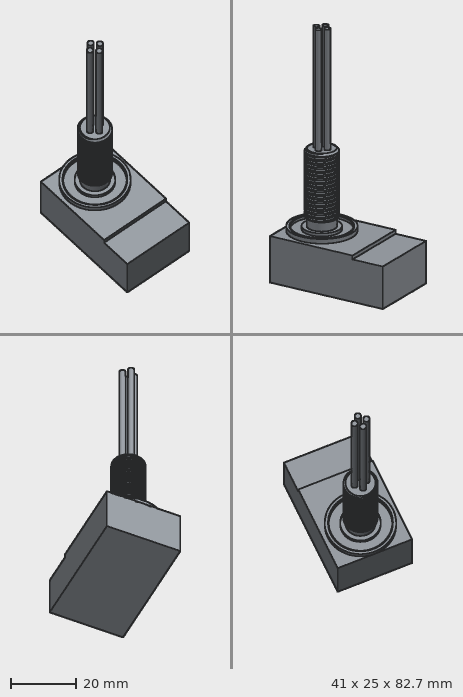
import math

import cadquery as cq

BODY_LENGTH = 41.0
BODY_WIDTH = 25.0
BODY_HEIGHT = 15.4
LEDGE_LENGTH = 11.0
LEDGE_DROP = 1.3

FLANGE_DIAMETER = 22.0
FLANGE_HEIGHT = 1.5
RECESS_OUTER_DIAMETER = 20.0
RECESS_FLOOR_DIAMETER = 19.5
RECESS_INNER_DIAMETER = 12.5
RECESS_DEPTH = 1.0
RECESS_STEP_DEPTH = 0.1

OVERALL_HEIGHT = 82.7
WIRE_DIAMETER = 2.0
WIRE_COUNT = 4
WIRE_CIRCLE_RADIUS = 2.0
WIRE_LENGTH = 40.0

NECK_DIAMETER = 9.4
NECK_HEIGHT = 3.0
THREAD_DIAMETER = 10.7
THREAD_PITCH = 1.27
THREAD_DEPTH = 0.62
GROOVE_ANGLE = 60.0
GROOVE_SECTION_HEIGHT = 2 * THREAD_PITCH
GROOVE_OVERCUT = 0.1
TOP_CHAMFER = 0.75
BOTTOM_CHAMFER = 0.5

FLANGE_TOP = BODY_HEIGHT + FLANGE_HEIGHT
THREAD_BOTTOM = FLANGE_TOP + NECK_HEIGHT
STEM_TOP = OVERALL_HEIGHT - WIRE_LENGTH


def cylinder(diameter, bottom, top):
    """Cylinder on the fitting axis between two heights."""
    return cq.Workplane("XY").workplane(offset=bottom).circle(diameter / 2).extrude(top - bottom)


def make_body():
    """Block with a shallow ledge across its +X end."""
    left = -FLANGE_DIAMETER / 2
    right = left + BODY_LENGTH
    return (
        cq.Workplane("XZ", origin=(0, BODY_WIDTH / 2, 0))
        .moveTo(left, 0)
        .lineTo(right, 0)
        .lineTo(right, BODY_HEIGHT - LEDGE_DROP)
        .lineTo(right - LEDGE_LENGTH, BODY_HEIGHT - LEDGE_DROP)
        .lineTo(right - LEDGE_LENGTH, BODY_HEIGHT)
        .lineTo(left, BODY_HEIGHT)
        .close()
        .extrude(BODY_WIDTH)
    )


def make_flange():
    """Disc with a stepped ring recess around its centre."""
    floor = FLANGE_TOP - RECESS_DEPTH
    step = FLANGE_TOP - RECESS_STEP_DEPTH
    recess = cylinder(RECESS_FLOOR_DIAMETER, floor, FLANGE_TOP)
    recess = recess.union(cylinder(RECESS_OUTER_DIAMETER, step, FLANGE_TOP))
    recess = recess.cut(cylinder(RECESS_INNER_DIAMETER, floor, FLANGE_TOP))
    return cylinder(FLANGE_DIAMETER, BODY_HEIGHT, FLANGE_TOP).cut(recess)


def make_helix(radius, bottom):
    """Helical edge over the height of one groove section."""
    start = cq.Vector(0, 0, bottom)
    return cq.Wire.makeHelix(THREAD_PITCH, GROOVE_SECTION_HEIGHT, radius, start).Edges()[0]


def make_groove_section(bottom):
    """Right-handed section of the V groove, starting at height bottom on the +X side."""
    root_radius = THREAD_DIAMETER / 2 - THREAD_DEPTH
    outer_radius = THREAD_DIAMETER / 2 + GROOVE_OVERCUT
    flank_rise = (outer_radius - root_radius) * math.tan(math.radians(GROOVE_ANGLE / 2))
    corners = [(root_radius, 0), (outer_radius, -flank_rise), (outer_radius, flank_rise)]
    helices = [make_helix(radius, bottom + rise) for radius, rise in corners]
    faces = [cq.Face.makeRuledSurface(helices[i - 1], helices[i]) for i in range(len(helices))]
    for end in (0, 1):
        outline = cq.Wire.makePolygon([helix.positionAt(end) for helix in helices], close=True)
        faces.append(cq.Face.makeFromWires(outline))
    return cq.Workplane(cq.Solid.makeSolid(cq.Shell.makeShell(faces)))


def make_stem():
    """Plain neck below a threaded cylinder chamfered at both ends."""
    threaded = cylinder(THREAD_DIAMETER, THREAD_BOTTOM, STEM_TOP)
    threaded = threaded.faces(">Z").chamfer(TOP_CHAMFER)
    threaded = threaded.faces("<Z").chamfer(BOTTOM_CHAMFER)
    groove_bottom = THREAD_BOTTOM - THREAD_PITCH
    section_count = math.ceil((STEM_TOP + THREAD_PITCH - groove_bottom) / GROOVE_SECTION_HEIGHT)
    for section in range(section_count):
        groove = make_groove_section(groove_bottom + section * GROOVE_SECTION_HEIGHT)
        threaded = threaded.cut(groove)
    return cylinder(NECK_DIAMETER, FLANGE_TOP, THREAD_BOTTOM).union(threaded)


def make_wires():
    """Straight wires evenly spaced on a circle, standing on the stem."""
    return (
        cq.Workplane("XY", origin=(0, 0, STEM_TOP))
        .polarArray(WIRE_CIRCLE_RADIUS, 0, 360, WIRE_COUNT)
        .circle(WIRE_DIAMETER / 2)
        .extrude(WIRE_LENGTH)
    )


result = make_body().union(make_flange()).union(make_stem()).union(make_wires())